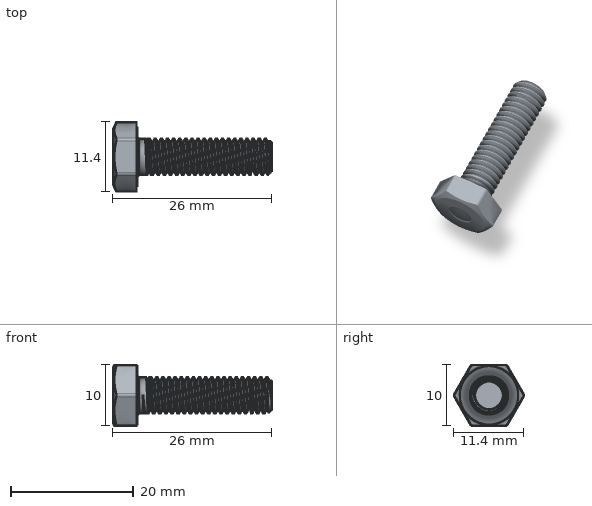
import cadquery as cq
import math

total_length = 26.0

across_flats = 10.0
corner_radius = 0.55
head_height = 4.0
washer_face_height = 0.15
washer_face_diameter = 9.57
crown_diameter = 9.0
crown_angle = 25.0
hex_height = head_height - washer_face_height

recess_diameter = 4.19
recess_floor_diameter = 3.87
recess_depth = 0.15

shank_diameter = 6.0
shank_radius = shank_diameter / 2
neck_flare = 0.13
neck_length = 0.23
tip_chamfer = 0.73

pitch = 1.0
thread_depth = 0.65
root_width = pitch / 8
flank_angle = 30.0
root_radius = shank_radius - thread_depth
full_thread_start = 6.15
runout_turns = 1.25
cutter_overshoot = 0.03


def along_x(body):
    """Turn a body built along Z so that its axis lies along X."""
    return body.rotate((0, 0, 0), (0, 1, 0), 90)


def make_head():
    hexagon = cq.Workplane("XY").polygon(6, across_flats, circumscribed=True).extrude(hex_height)
    hexagon = hexagon.edges("|Z").fillet(corner_radius)

    crown_radius = crown_diameter / 2
    outer_radius = across_flats / math.sqrt(3)
    crown_drop = (outer_radius - crown_radius) * math.tan(math.radians(crown_angle))
    envelope = (
        cq.Workplane("XZ")
        .moveTo(0, 0)
        .lineTo(crown_radius, 0)
        .lineTo(outer_radius, crown_drop)
        .lineTo(outer_radius, hex_height)
        .lineTo(0, hex_height)
        .close()
        .revolve(360, (0, 0), (0, 1))
    )
    washer_face = (
        cq.Workplane("XY")
        .workplane(offset=hex_height)
        .circle(washer_face_diameter / 2)
        .extrude(washer_face_height)
    )
    recess = cq.Workplane(
        cq.Solid.makeCone(recess_diameter / 2, recess_floor_diameter / 2, recess_depth)
    )
    return hexagon.intersect(envelope).union(washer_face).cut(recess)


def make_shank():
    return (
        cq.Workplane("XZ")
        .moveTo(0, hex_height)
        .lineTo(shank_radius + neck_flare, hex_height)
        .lineTo(shank_radius + neck_flare, head_height)
        .lineTo(shank_radius, head_height + neck_length)
        .lineTo(shank_radius, total_length - tip_chamfer)
        .lineTo(shank_radius - tip_chamfer, total_length)
        .lineTo(0, total_length)
        .close()
        .revolve(360, (0, 0), (0, 1))
    )


def make_helix(turns, rise_per_turn, radius, start_height):
    """Helix about Z that starts at +X and moves outward by rise_per_turn."""
    center = cq.Vector(0, 0, start_height)
    if rise_per_turn == 0:
        return cq.Wire.makeHelix(pitch, turns * pitch, radius, center)
    cone_angle = math.atan2(rise_per_turn, pitch)
    slant_pitch = pitch / math.cos(cone_angle)
    return cq.Wire.makeHelix(
        slant_pitch, turns * slant_pitch, radius, center, angle=math.degrees(cone_angle)
    )


def make_groove(turns, rise_per_turn):
    """Helical groove cutter from Z = 0 upward, closed by a flat cap at each end."""
    mouth_radius = shank_radius + cutter_overshoot
    root_half = root_width / 2
    mouth_half = root_half + (mouth_radius - root_radius) * math.tan(math.radians(flank_angle))
    profile = [
        (root_radius, -root_half),
        (mouth_radius, -mouth_half),
        (mouth_radius, mouth_half),
        (root_radius, root_half),
    ]
    helices = [make_helix(turns, rise_per_turn, radius, height) for radius, height in profile]
    sides = [
        cq.Face.makeRuledSurface(helices[i - 1], helices[i]).Faces()[0]
        for i in range(len(helices))
    ]
    caps = []
    for end in (0, 1):
        corners = [helix.positionAt(end) for helix in helices]
        caps.append(cq.Face.makeFromWires(cq.Wire.makePolygon(corners, close=True)))
    shell = cq.Shell.makeShell(sides + caps)
    return cq.Workplane(cq.Solid.makeSolid(shell))


def cut_thread(bolt):
    full_turns = (total_length - full_thread_start) / pitch + 1
    full_groove = make_groove(full_turns, 0)
    runout = make_groove(runout_turns, thread_depth / runout_turns)
    runout = runout.rotate((0, 0, 0), (1, 0, 0), 180)
    for groove in (full_groove, runout):
        bolt = bolt.cut(groove.translate((0, 0, full_thread_start)))
    return bolt


bolt = make_head().union(make_shank())
result = along_x(cut_thread(bolt)).solids()